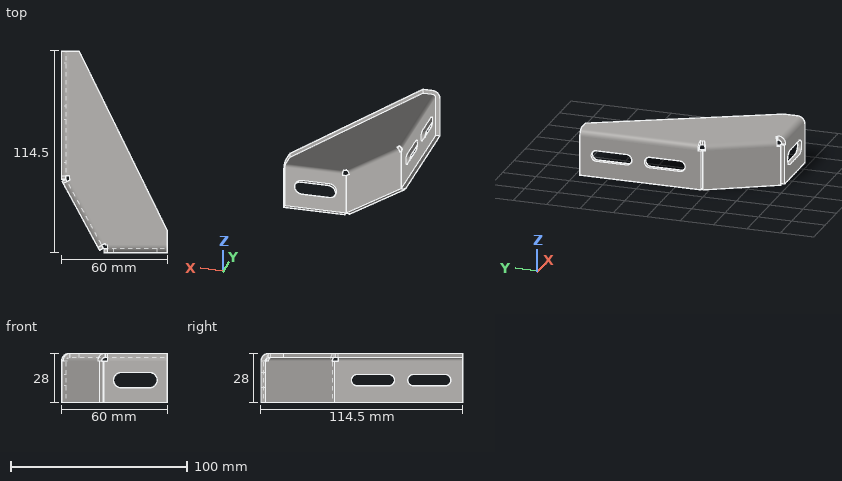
import cadquery as cq
import math

width = 60.0
length = 114.5
height = 28.0

thickness = 2.5
bend_radius = 4.5
bend_height = height - bend_radius

diagonal_angle = math.radians(61.5)
left_corner_y = 42.4
plate_tip_x = 10.1
plate_side_y = 12.8

left_corner = (bend_radius, left_corner_y)
bottom_corner_x = bend_radius + (left_corner_y - bend_radius) / math.tan(diagonal_angle)
bottom_corner = (bottom_corner_x, bend_radius)
diagonal_length = math.dist(left_corner, bottom_corner)

bend_setback = 0.97
left_bend_setback = 1.4
left_wall_overrun = 0.6
diagonal_wall_start_overrun = 0.5
diagonal_wall_end_overrun = 1.0
bottom_wall_overrun = 1.0

slot_height_z = 12.8
side_slot_length = 24.3
side_slot_width = 6.3
side_slot_centers_y = (63.5, 95.5)
end_slot_length = 24.6
end_slot_width = 8.6
end_slot_center_x = 41.9


def flange(corner, angle, bend_range, wall_range):
    """Bend and wall along a bend line; ranges are distances from the corner.

    The line leaves the corner at the given angle, with the outside on its right.
    """
    along = cq.Vector(math.cos(angle), math.sin(angle), 0)
    outward = cq.Vector(math.sin(angle), -math.cos(angle), 0)
    origin = cq.Vector(corner[0], corner[1], 0)

    def section(start):
        return cq.Workplane(cq.Plane(origin + along * start, outward, along * -1))

    inner_radius = bend_radius - thickness
    diagonal = math.sqrt(0.5)
    bend = (
        section(bend_range[0])
        .moveTo(0, height)
        .threePointArc((bend_radius * diagonal, bend_height + bend_radius * diagonal),
                       (bend_radius, bend_height))
        .lineTo(inner_radius, bend_height)
        .threePointArc((inner_radius * diagonal, bend_height + inner_radius * diagonal),
                       (0, bend_height + inner_radius))
        .close()
        .extrude(bend_range[0] - bend_range[1])
    )
    wall = (
        section(wall_range[0])
        .moveTo(inner_radius, 0)
        .rect(thickness, bend_height, centered=False)
        .extrude(wall_range[0] - wall_range[1])
    )
    return bend.union(wall)


def slot_cutter(plane, center, slot_length, slot_width, depth):
    return (
        cq.Workplane(plane)
        .center(center, slot_height_z)
        .slot2D(slot_length, slot_width)
        .extrude(depth)
    )


plate = (
    cq.Workplane("XY")
    .workplane(offset=height - thickness)
    .polyline([
        left_corner,
        bottom_corner,
        (width, bend_radius),
        (width, plate_side_y),
        (plate_tip_x, length),
        (bend_radius, length),
    ])
    .close()
    .extrude(thickness)
)

left_length = length - left_corner_y
left_flange = flange(
    (bend_radius, length),
    math.radians(-90),
    (0, left_length - left_bend_setback),
    (0, left_length + left_wall_overrun),
)
diagonal_flange = flange(
    left_corner,
    -diagonal_angle,
    (bend_setback, diagonal_length - bend_setback),
    (-diagonal_wall_start_overrun, diagonal_length + diagonal_wall_end_overrun),
)
bottom_length = width - bottom_corner_x
bottom_flange = flange(
    bottom_corner,
    0,
    (bend_setback, bottom_length),
    (-bottom_wall_overrun, bottom_length),
)

for center_y in side_slot_centers_y:
    left_flange = left_flange.cut(
        slot_cutter("YZ", center_y, side_slot_length, side_slot_width, bend_radius)
    )
bottom_flange = bottom_flange.cut(
    slot_cutter("XZ", end_slot_center_x, end_slot_length, end_slot_width, -bend_radius)
)

result = plate.union(left_flange).union(diagonal_flange).union(bottom_flange)